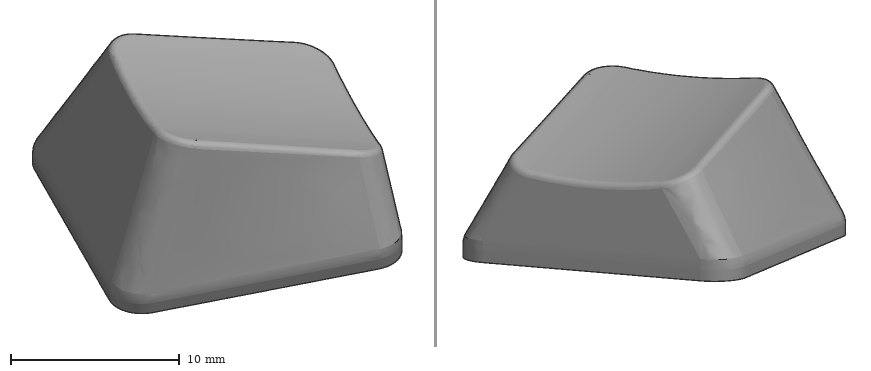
import cadquery as cq
import math

base_size = 18.16
base_corner_radius = 2.03
skirt_height = 0.69

shoulder_top_z = 1.3
shoulder_side_inset = 0.16
shoulder_front_inset = 0.16
shoulder_back_inset = 0.022

top_width = 11.95
top_corner_radius = 2.0
front_edge_y = -5.01
front_edge_z = 9.99
back_edge_y = 8.72
back_edge_z = 5.95
top_edge_radius = 0.45

dish_radius = 29.96
dish_depth = 0.65

top_run = back_edge_y - front_edge_y
top_drop = front_edge_z - back_edge_z
top_length = math.hypot(top_run, top_drop)
top_plane = cq.Plane(
    origin=(0, (front_edge_y + back_edge_y) / 2, (front_edge_z + back_edge_z) / 2),
    xDir=(1, 0, 0),
    normal=(0, top_drop, top_run),
)


def rounded_rectangle(plane, width, length, radius):
    """Rounded rectangle centred on the origin of the given plane."""
    return cq.Sketch().rect(width, length).vertices().fillet(radius).moved(plane.location)


def shoulder_section(inset_share, height):
    """Level section of the shoulder, moved in by a share of its full insets."""
    front_inset = inset_share * shoulder_front_inset
    back_inset = inset_share * shoulder_back_inset
    side_inset = inset_share * shoulder_side_inset
    width = base_size - 2 * side_inset
    length = base_size - front_inset - back_inset
    plane = cq.Plane(origin=(0, (front_inset - back_inset) / 2, height))
    return rounded_rectangle(plane, width, length, base_corner_radius - side_inset)


def make_skirt():
    """Upright band around the foot of the cap."""
    return cq.Workplane().placeSketch(shoulder_section(0, 0)).extrude(skirt_height)


def make_shoulder():
    """Smooth band that starts upright and curves in to the wall slope."""
    middle_z = (skirt_height + shoulder_top_z) / 2
    return cq.Workplane().placeSketch(
        shoulder_section(0, skirt_height),
        shoulder_section(1 / 4, middle_z),
        shoulder_section(1, shoulder_top_z),
    ).loft()


def make_walls():
    """Straight-ruled walls from the shoulder up to the tilted top."""
    top = rounded_rectangle(top_plane, top_width, top_length, top_corner_radius)
    return cq.Workplane().placeSketch(shoulder_section(1, shoulder_top_z), top).loft(ruled=True)


def make_dish():
    """Cylinder that hollows the top, with its axis parallel to the slope."""
    axis_height = dish_radius - dish_depth
    length = 2 * top_length
    start = top_plane.toWorldCoords((0, -length / 2, axis_height))
    return cq.Workplane(cq.Solid.makeCylinder(dish_radius, length, start, top_plane.yDir))


body = make_skirt().union(make_shoulder()).union(make_walls()).cut(make_dish())
dish_centre = top_plane.toWorldCoords((0, 0, -dish_depth))
dish_face = body.faces(cq.selectors.NearestToPointSelector(dish_centre.toTuple()))
result = dish_face.edges().fillet(top_edge_radius)